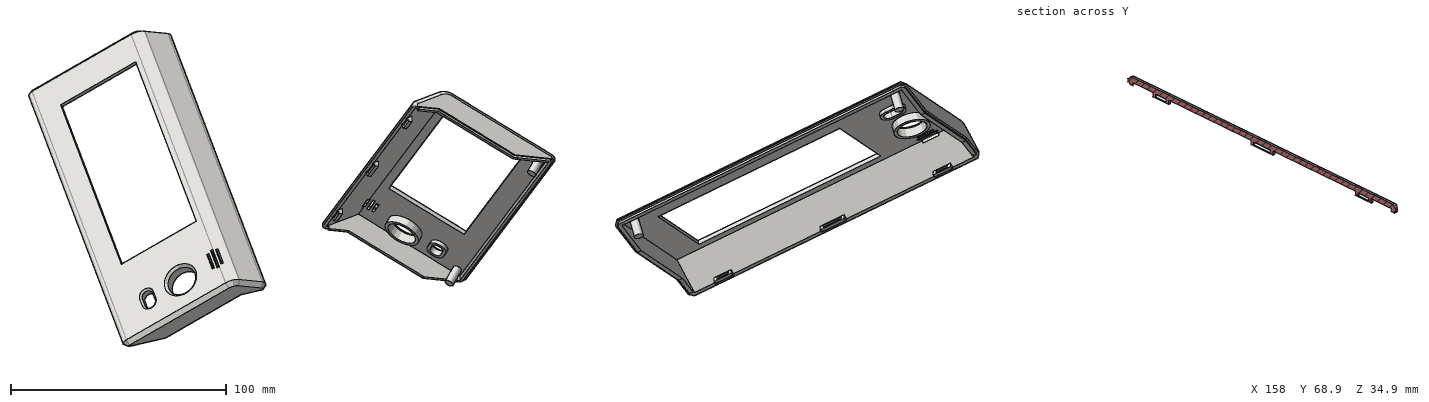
import cadquery as cq
import math

length = 158.0
depth = 68.9
front_angle = 27.7
roof_angle = 26.7
panel_start_height = 3.0
ridge_y = 52.8
ridge_radius = 7.3
end_radius = 3.0
side_chamfer = 2.0

lip_height = 1.0
lip_inset = 1.0
lip_corner_chamfer = 1.3
cut_floor_z = -15.8
rim_overlap = 0.5
rim_kink_y = 19.9
rear_rim_z = 20.0

panel_thickness = 2.0
wall_thickness = 3.0

window_left = -61.8
window_right = 37.0
window_front_y = 10.9
window_rear_y = 47.1

control_x = 62.3
collar_wall = 1.6
knob_y = 32.0
knob_diameter = 14.2
knob_chamfer = 1.3
knob_depth = 5.8
button_y = 16.3
button_length = 9.6
button_width = 5.5
button_chamfer = 1.0
button_depth = 4.0

slit_x = 61.5
slit_y = 48.8
slit_pitch = 2.4
slit_width = 1.1
slit_lengths = (8.7, 10.7, 8.7)
slit_cut_depth = 6.3

peg_x = 70.8
peg_diameter = 4.3
peg_tip_y = 9.6
peg_tip_z = -4.1

tab_front_y = 65.3
tab_bottom_z = 18.3
tab_top_z = 21.5
tab_tip_thickness = 1.6
tab_spacing = 59.5
center_tab_width = 13.1
side_tab_width = 9.5
catch_margin_x = 1.7
catch_height = 1.3
catch_rise = 1.0

panel_slope = math.tan(math.radians(front_angle))
roof_slope = math.tan(math.radians(roof_angle))
panel_cos = math.cos(math.radians(front_angle))
panel_sin = math.sin(math.radians(front_angle))
roof_cos = math.cos(math.radians(roof_angle))
ridge_z = panel_start_height + ridge_y * panel_slope
rear_top_z = ridge_z - (depth - ridge_y) * roof_slope
rear_kink_y = rim_kink_y + (rear_rim_z - lip_height) / panel_slope
kink_shift = lip_height * math.tan(math.radians(front_angle / 2))


def extrude_along_x(points, width):
    """Prism centred on X = 0 from a list of (Y, Z) points."""
    return cq.Workplane("YZ").polyline(points).close().extrude(width / 2, both=True)


def panel_plane(y):
    """Plane on the front panel face at a given Y, its normal pointing outwards."""
    return cq.Workplane(cq.Plane(
        origin=(0, y, panel_start_height + y * panel_slope),
        xDir=(1, 0, 0),
        normal=(0, -panel_sin, panel_cos),
    ))


def make_outer():
    """Solid outer block: rounded ridge and ends, chamfered sides, stepped underside."""
    block = extrude_along_x([
        (0, cut_floor_z),
        (0, panel_start_height),
        (ridge_y, ridge_z),
        (depth, rear_top_z),
        (depth, cut_floor_z),
    ], length)
    ridge = cq.selectors.NearestToPointSelector((0, ridge_y, ridge_z))
    front = cq.selectors.NearestToPointSelector((0, 0, panel_start_height))
    rear = cq.selectors.NearestToPointSelector((0, depth, rear_top_z))
    block = block.edges(ridge).fillet(ridge_radius)
    block = block.edges(front).fillet(end_radius)
    block = block.edges(rear).fillet(end_radius)
    block = block.faces("<X or >X").chamfer(side_chamfer)
    underside = extrude_along_x([
        (-1.6, 2 * cut_floor_z),
        (-1.6, lip_height),
        (rim_kink_y, lip_height),
        (rear_kink_y, rear_rim_z),
        (depth + 1.6, rear_rim_z),
        (depth + 1.6, 2 * cut_floor_z),
    ], length + 1.6)
    return block.cut(underside)


def make_lip():
    """Lip along the front and side walls; its top stays within the shell."""
    front_y = lip_inset
    front_lean = lip_height * panel_slope
    rear_y = depth - wall_thickness
    lip = extrude_along_x([
        (front_y + front_lean, 0),
        (rim_kink_y + kink_shift, 0),
        (rear_kink_y + kink_shift, rear_rim_z - lip_height),
        (rear_y, rear_rim_z - lip_height),
        (rear_y, rear_rim_z + rim_overlap),
        (rear_kink_y, rear_rim_z + rim_overlap),
        (rim_kink_y, lip_height + rim_overlap),
        (front_y, lip_height + rim_overlap),
        (front_y, lip_height),
    ], length - 2 * lip_inset)
    leaning_face = cq.selectors.NearestToPointSelector((0, front_y + front_lean / 2, lip_height / 2))
    corners = lip.faces(leaning_face).edges("not |X")
    return corners.chamfer(lip_corner_chamfer)


def make_cavity():
    """Inner space, open below, leaving panel, roof, front wall and side walls."""
    panel_drop = panel_thickness / panel_cos
    roof_drop = wall_thickness / roof_cos
    inner_ridge_y = ridge_y + (panel_drop - roof_drop) / (panel_slope + roof_slope)
    inner_ridge_z = panel_start_height + inner_ridge_y * panel_slope - panel_drop
    front_z = panel_start_height + wall_thickness * panel_slope - panel_drop
    rear_z = rear_top_z - roof_drop
    return extrude_along_x([
        (wall_thickness, cut_floor_z),
        (wall_thickness, front_z),
        (inner_ridge_y, inner_ridge_z),
        (depth, rear_z),
        (depth, cut_floor_z),
    ], length - 2 * wall_thickness)


def control_outline(y, size, growth):
    """Round or obround outline on the panel, widened all round by growth."""
    long_side, short_side = size
    plane = panel_plane(y).center(control_x, 0)
    if long_side == short_side:
        return plane.circle(short_side / 2 + growth)
    return plane.slot2D(long_side + 2 * growth, short_side + 2 * growth)


def add_control(body, y, size, depth_below, chamfer):
    """Add a collar below the panel and cut a chamfered opening through both."""
    collar = control_outline(y, size, collar_wall).extrude(-depth_below)
    opening = control_outline(y, size, 0).extrude(-2 * depth_below)
    countersink = control_outline(y, size, chamfer).extrude(-chamfer, taper=45)
    return body.union(collar).cut(opening).cut(countersink)


def make_window():
    """Block that cuts the display window square to the panel."""
    middle_y = (window_front_y + window_rear_y) / 2
    height = (window_rear_y - window_front_y) / panel_cos
    return (
        panel_plane(middle_y)
        .center((window_left + window_right) / 2, 0)
        .rect(window_right - window_left, height)
        .extrude(2 * panel_thickness, both=True)
    )


def make_slits():
    """Three parallel slits, evenly pitched along the panel."""
    slits = cq.Workplane()
    for row, slit_length in enumerate(slit_lengths, start=-1):
        slit = (
            panel_plane(slit_y)
            .center(slit_x, row * slit_pitch)
            .rect(slit_length, slit_width)
            .extrude(slit_cut_depth, both=True)
        )
        slits = slits.add(slit)
    return slits.combine()


def make_peg(x):
    """Peg square to the front panel, reaching from its tip into the panel."""
    tip_to_face = (panel_start_height + peg_tip_y * panel_slope - peg_tip_z) * panel_cos
    tip = cq.Plane(
        origin=(x, peg_tip_y, peg_tip_z),
        xDir=(1, 0, 0),
        normal=(0, -panel_sin, panel_cos),
    )
    return cq.Workplane(tip).circle(peg_diameter / 2).extrude(tip_to_face - panel_thickness / 2)


def make_tab(x, width):
    """Tab with an upright front face, a leaning rear face and a catch window."""
    rear_y = tab_front_y + tab_tip_thickness
    rear_rise = rear_rim_z + rim_overlap - tab_bottom_z
    tab = extrude_along_x([
        (tab_front_y, tab_bottom_z),
        (rear_y, tab_bottom_z),
        (rear_y + rear_rise * roof_slope, rear_rim_z + rim_overlap),
        (tab_front_y, tab_top_z),
    ], width)
    catch_z = tab_bottom_z + catch_rise + catch_height / 2
    catch = (
        cq.Workplane()
        .box(width - 2 * catch_margin_x, 4 * tab_tip_thickness, catch_height)
        .translate((0, tab_front_y, catch_z))
    )
    return tab.cut(catch).translate((x, 0, 0))


result = make_outer().union(make_lip()).cut(make_cavity())
result = result.cut(make_window())
result = result.cut(make_slits())
result = add_control(result, knob_y, (knob_diameter, knob_diameter), knob_depth, knob_chamfer)
result = add_control(result, button_y, (button_length, button_width), button_depth, button_chamfer)
for peg_side in (-1, 1):
    result = result.union(make_peg(peg_side * peg_x))
    result = result.union(make_tab(peg_side * tab_spacing, side_tab_width))
result = result.union(make_tab(0, center_tab_width))